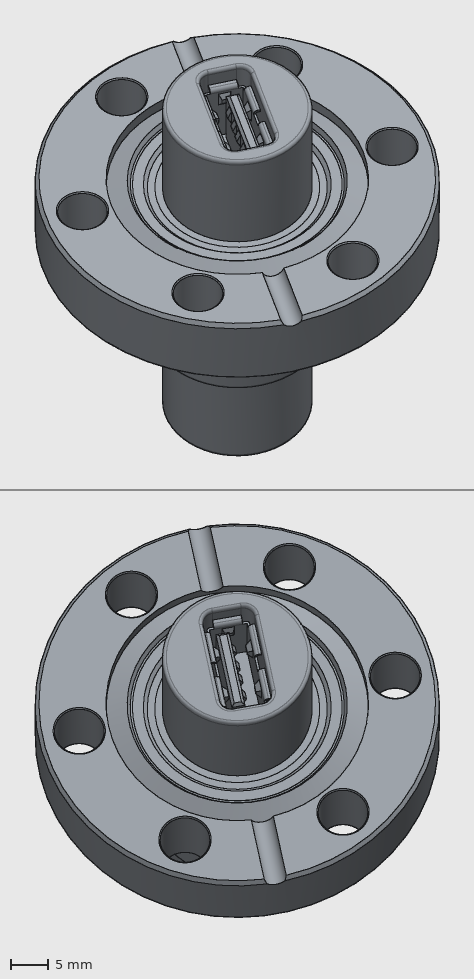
import cadquery as cq
import math

TOTAL_HEIGHT = 57.6
TOP_Z = TOTAL_HEIGHT / 2

FLANGE_DIAMETER = 54.0
FLANGE_TOP_Z = 15.0
FLANGE_THICKNESS = 10.5
FLANGE_BOTTOM_Z = FLANGE_TOP_Z - FLANGE_THICKNESS
FLANGE_CHAMFER = 0.5

RECESS_DIAMETER = 35.0
RECESS_DEPTH = 1.7
KNIFE_TIP_DIAMETER = 29.4
KNIFE_TIP_DEPTH = 0.4
LEDGE_OUTER_DIAMETER = 28.55
LEDGE_INNER_DIAMETER = 28.0
LEDGE_DEPTH = 1.1
FLOOR_DEPTH = 1.15
BORE_CHAMFER = 0.5

BOLT_HOLE_DIAMETER = 6.6
BOLT_CIRCLE_DIAMETER = 42.95
BOLT_COUNT = 6
BOLT_HOLE_CHAMFER = 0.2
GROOVE_WIDTH = 3.0
GROOVE_DEPTH = 1.05

SLEEVE_DIAMETER = 24.0
SLEEVE_BORE = 22.0
SLEEVE_TOP_Z = FLANGE_TOP_Z - FLOOR_DEPTH - BORE_CHAMFER
SLEEVE_BOTTOM_Z = -13.25
SLEEVE_FILLET = 0.35

BARREL_DIAMETER = 20.0
EDGE_FILLET = 0.5

POCKET_LENGTH = 14.6
POCKET_WIDTH = 7.0
POCKET_CORNER_RADIUS = 1.55
POCKET_DEPTH = 11.5
POCKET_FLOOR_Z = TOP_Z - POCKET_DEPTH

SHELL_OPENING_LENGTH = 12.4
SHELL_OPENING_WIDTH = 5.1
SHEET_THICKNESS = 0.33
SHELL_CORNER_RADIUS = 0.4
LIP_TOP_DEPTH = 2.55
LIP_BEND_RADIUS = 0.6
LIP_TOP_Z = TOP_Z - LIP_TOP_DEPTH
SHELL_TOP_Z = LIP_TOP_Z - LIP_BEND_RADIUS
LONG_LIP_LENGTH = 4.55
LONG_LIP_GAP = 2.2
SHORT_LIP_LENGTH = 3.9

SPRING_BASE_WIDTH = 1.7
SPRING_TIP_WIDTH = 1.05
SPRING_BASE_HEIGHT = 2.1
SPRING_TIP_HEIGHT = 0.7
LONG_WALL_SPRING_BULGE = 0.72
END_WALL_SPRING_BULGE = 0.55
SPRING_SPACING = 6.05
SPRING_START_DEPTH = 0.35
SPRING_Z = SHELL_TOP_Z - SPRING_START_DEPTH - SPRING_BASE_HEIGHT / 2

TONGUE_LENGTH = 11.05
TONGUE_THICKNESS = 1.8
TONGUE_CENTRE_Y = 0.9
TONGUE_TOP_Z = TOP_Z - 3.1
TONGUE_TIP_CHAMFER = 0.4
CONTACT_WIDTH = 1.05
CONTACT_BULGE = 0.5
CONTACT_HEIGHT = 2.3
CONTACT_START_DEPTH = 0.7
CONTACT_TOP_Z = TONGUE_TOP_Z - CONTACT_START_DEPTH
CONTACT_OUTER_X = 3.45
CONTACT_INNER_X = 1.0


def cylinder(diameter, bottom_z, top_z):
    return cq.Workplane("XY").workplane(offset=bottom_z).circle(diameter / 2).extrude(top_z - bottom_z)


def rounded_block(length, width, corner_radius, bottom_z, top_z):
    block = cq.Workplane("XY").workplane(offset=bottom_z).rect(length, width).extrude(top_z - bottom_z)
    return block.edges("|Z").fillet(corner_radius)


def turned(feature, angle):
    return feature.rotate((0, 0, 0), (0, 0, 1), angle)


def bolt_hole():
    """Cutter for one bolt hole with a chamfered upper rim, on the Z axis."""
    rim = (
        cq.Workplane("XY")
        .workplane(offset=FLANGE_TOP_Z)
        .circle(BOLT_HOLE_DIAMETER / 2 + BOLT_HOLE_CHAMFER)
        .extrude(-BOLT_HOLE_CHAMFER, taper=45)
    )
    return cylinder(BOLT_HOLE_DIAMETER, FLANGE_BOTTOM_Z, FLANGE_TOP_Z).union(rim)


def leak_check_groove():
    """Cutter for the +X groove, from just inside the recess wall, above the slope, to past the rim."""
    radius = ((GROOVE_WIDTH / 2) ** 2 + GROOVE_DEPTH**2) / (2 * GROOVE_DEPTH)
    return (
        cq.Workplane("YZ")
        .workplane(offset=RECESS_DIAMETER / 2 - GROOVE_DEPTH)
        .center(0, FLANGE_TOP_Z - GROOVE_DEPTH + radius)
        .circle(radius)
        .extrude(FLANGE_DIAMETER / 2)
    )


def make_flange():
    """Disc with a knife-edge recess, bolt holes and two leak-check grooves."""
    floor_z = FLANGE_TOP_Z - FLOOR_DEPTH
    ledge_z = FLANGE_TOP_Z - LEDGE_DEPTH
    outer_radius = FLANGE_DIAMETER / 2
    bore_radius = SLEEVE_DIAMETER / 2
    section = [
        (bore_radius, FLANGE_BOTTOM_Z),
        (outer_radius - FLANGE_CHAMFER, FLANGE_BOTTOM_Z),
        (outer_radius, FLANGE_BOTTOM_Z + FLANGE_CHAMFER),
        (outer_radius, FLANGE_TOP_Z - FLANGE_CHAMFER),
        (outer_radius - FLANGE_CHAMFER, FLANGE_TOP_Z),
        (RECESS_DIAMETER / 2, FLANGE_TOP_Z),
        (RECESS_DIAMETER / 2, FLANGE_TOP_Z - RECESS_DEPTH),
        (KNIFE_TIP_DIAMETER / 2, FLANGE_TOP_Z - KNIFE_TIP_DEPTH),
        (LEDGE_OUTER_DIAMETER / 2, ledge_z),
        (LEDGE_INNER_DIAMETER / 2, ledge_z),
        (LEDGE_INNER_DIAMETER / 2, floor_z),
        (bore_radius + BORE_CHAMFER, floor_z),
        (bore_radius, floor_z - BORE_CHAMFER),
    ]
    flange = cq.Workplane("XZ").polyline(section).close().revolve(360, (0, 0), (0, 1))

    hole = bolt_hole().translate((0, BOLT_CIRCLE_DIAMETER / 2, 0))
    for index in range(BOLT_COUNT):
        flange = flange.cut(turned(hole, index * 360 / BOLT_COUNT))

    groove = leak_check_groove()
    return flange.cut(groove).cut(groove.mirror("YZ"))


def make_sleeve():
    sleeve = cylinder(SLEEVE_DIAMETER, SLEEVE_BOTTOM_Z, SLEEVE_TOP_Z)
    sleeve = sleeve.faces("<Z").edges().fillet(SLEEVE_FILLET)
    return sleeve.cut(cylinder(SLEEVE_BORE, SLEEVE_BOTTOM_Z, SLEEVE_TOP_Z))


def make_barrel():
    """Long round body with rounded ends, a collar and the socket pocket."""
    barrel = cylinder(BARREL_DIAMETER, -TOP_Z, TOP_Z)
    barrel = barrel.cut(
        rounded_block(POCKET_LENGTH, POCKET_WIDTH, POCKET_CORNER_RADIUS, POCKET_FLOOR_Z, TOP_Z)
    )
    barrel = barrel.faces(">Z or <Z").edges().fillet(EDGE_FILLET)
    return barrel.union(cylinder(SLEEVE_BORE, SLEEVE_BOTTOM_Z, SLEEVE_TOP_Z))


def flared_lip(wall_offset, pocket_offset, length):
    """Lip bent 90 degrees toward +X, from the inner wall face to the pocket wall, centred on the X axis."""
    bend_x = wall_offset + LIP_BEND_RADIUS
    inner_bend_radius = LIP_BEND_RADIUS - SHEET_THICKNESS
    diagonal = math.sqrt(0.5)
    return (
        cq.Workplane("XZ")
        .moveTo(wall_offset, SHELL_TOP_Z)
        .threePointArc(
            (bend_x - LIP_BEND_RADIUS * diagonal, SHELL_TOP_Z + LIP_BEND_RADIUS * diagonal),
            (bend_x, LIP_TOP_Z),
        )
        .lineTo(pocket_offset, LIP_TOP_Z)
        .lineTo(pocket_offset, LIP_TOP_Z - SHEET_THICKNESS)
        .lineTo(bend_x, LIP_TOP_Z - SHEET_THICKNESS)
        .threePointArc(
            (bend_x - inner_bend_radius * diagonal, SHELL_TOP_Z + inner_bend_radius * diagonal),
            (wall_offset + SHEET_THICKNESS, SHELL_TOP_Z),
        )
        .close()
        .extrude(length / 2, both=True)
    )


def spring_dimple(wall_offset, bulge):
    """Truncated pyramid that stands on an inner wall face at wall_offset and points toward -X."""
    return (
        cq.Workplane("YZ")
        .workplane(offset=wall_offset)
        .center(0, SPRING_Z)
        .rect(SPRING_BASE_WIDTH, SPRING_BASE_HEIGHT)
        .workplane(offset=-bulge)
        .rect(SPRING_TIP_WIDTH, SPRING_TIP_HEIGHT)
        .loft()
    )


def make_shell():
    """Rectangular sheet-metal tube with flared lips and spring dimples on all four walls."""
    half_length = SHELL_OPENING_LENGTH / 2
    half_width = SHELL_OPENING_WIDTH / 2
    shell = rounded_block(
        SHELL_OPENING_LENGTH + 2 * SHEET_THICKNESS,
        SHELL_OPENING_WIDTH + 2 * SHEET_THICKNESS,
        SHELL_CORNER_RADIUS,
        POCKET_FLOOR_Z,
        SHELL_TOP_Z,
    )
    opening = (
        cq.Workplane("XY")
        .workplane(offset=POCKET_FLOOR_Z)
        .rect(SHELL_OPENING_LENGTH, SHELL_OPENING_WIDTH)
        .extrude(POCKET_DEPTH)
    )
    shell = shell.cut(opening)

    end_lip = flared_lip(half_length, POCKET_LENGTH / 2, SHORT_LIP_LENGTH)
    end_spring = spring_dimple(half_length, END_WALL_SPRING_BULGE)
    for angle in (0, 180):
        shell = shell.union(turned(end_lip, angle)).union(turned(end_spring, angle))

    long_lip = flared_lip(half_width, POCKET_WIDTH / 2, LONG_LIP_LENGTH)
    long_spring = spring_dimple(half_width, LONG_WALL_SPRING_BULGE)
    lip_shift = (LONG_LIP_GAP + LONG_LIP_LENGTH) / 2
    spring_shift = SPRING_SPACING / 2
    for angle in (90, 270):
        for side in (-1, 1):
            shell = shell.union(turned(long_lip.translate((0, side * lip_shift, 0)), angle))
            shell = shell.union(turned(long_spring.translate((0, side * spring_shift, 0)), angle))
    return shell


def make_tongue():
    """Bar with a bevelled tip and four contact bumps on its lower long side."""
    tongue = (
        cq.Workplane("XY")
        .workplane(offset=POCKET_FLOOR_Z)
        .center(0, TONGUE_CENTRE_Y)
        .rect(TONGUE_LENGTH, TONGUE_THICKNESS)
        .extrude(TONGUE_TOP_Z - POCKET_FLOOR_Z)
        .faces(">Z")
        .edges()
        .chamfer(TONGUE_TIP_CHAMFER)
    )
    face_y = TONGUE_CENTRE_Y - TONGUE_THICKNESS / 2
    contact = (
        cq.Workplane("YZ")
        .moveTo(face_y, CONTACT_TOP_Z)
        .lineTo(face_y - CONTACT_BULGE, CONTACT_TOP_Z - CONTACT_HEIGHT / 2)
        .lineTo(face_y, CONTACT_TOP_Z - CONTACT_HEIGHT)
        .close()
        .extrude(CONTACT_WIDTH / 2, both=True)
    )
    for x in (-CONTACT_OUTER_X, -CONTACT_INNER_X, CONTACT_INNER_X, CONTACT_OUTER_X):
        tongue = tongue.union(contact.translate((x, 0, 0)))
    return tongue


flange = make_flange()
sleeve = make_sleeve()
barrel = make_barrel()
shell = make_shell()
tongue = make_tongue()

result = cq.Compound.makeCompound([flange.val(), sleeve.val(), barrel.val(), shell.val(), tongue.val()])